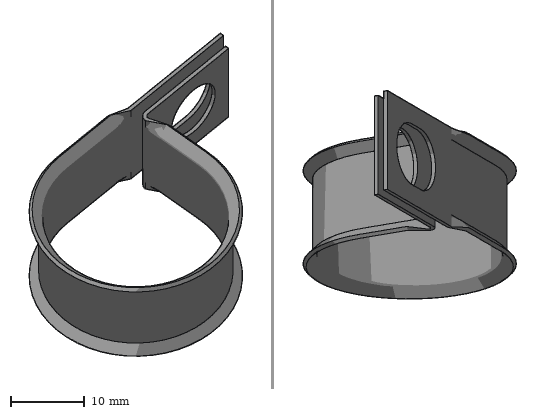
import cadquery as cq
import math

thickness = 0.6
half_width = 7.12
lip_radius = 14.6
inner_radius = 12.75
outer_radius = inner_radius + thickness
overall_length = 45.95
tab_end = overall_length - lip_radius

tab_length_difference = 1.25
short_tab_end = tab_end - tab_length_difference
short_tab_face = -11.2
bend_outer_radius = 2 * thickness
bend_inner_radius = bend_outer_radius - thickness
bend_end = short_tab_face + bend_outer_radius

flare_reach = lip_radius - outer_radius
flare_offset = thickness * math.sqrt(0.5)
root_height = half_width - flare_offset - flare_reach
long_side_flare_end = 10.2
short_side_flare_end = 7.35
long_side_flat_start = inner_radius
short_side_flat_start = -bend_end

hole_diameter = 8.75
slot_length = 11.2
hole_y = 23.03


def strap_box(x_min, x_max, y_min, y_max, half_height):
    return cq.Workplane("XY").box(
        x_max - x_min, y_max - y_min, 2 * half_height, centered=False
    ).translate((x_min, y_min, -half_height))


def flared_section(plane):
    """Flared rim section: local X is the distance from the loop axis, local Y is Z."""
    arc_middle = math.radians(22.5)
    return (
        plane.moveTo(outer_radius, root_height)
        .lineTo(lip_radius, root_height + flare_reach)
        .lineTo(lip_radius - flare_offset, half_width)
        .lineTo(outer_radius - flare_offset, root_height + flare_offset)
        .threePointArc(
            (outer_radius - thickness * math.cos(arc_middle),
             root_height + thickness * math.sin(arc_middle)),
            (inner_radius, root_height),
        )
        .close()
    )


def flat_section(plane):
    """Unflared strap edge, with one corner for each corner of the flared section."""
    return (
        plane.moveTo(outer_radius, root_height)
        .lineTo(outer_radius, half_width)
        .lineTo(inner_radius, half_width)
        .lineTo(inner_radius, root_height + flare_offset)
        .lineTo(inner_radius, root_height)
        .close()
    )


def straight_rim(flare_end, flat_start):
    """Straight flared rim and its fade-out, on the +X side and running toward -Y."""
    rim = flared_section(cq.Workplane("XZ")).extrude(flare_end)
    flared = flared_section(cq.Workplane("XZ", origin=(0, -flare_end, 0))).val()
    flat = flat_section(cq.Workplane("XZ", origin=(0, -flat_start, 0))).val()
    fade = cq.Solid.makeLoft([flared, flat], True)
    return rim.union(cq.Workplane(obj=fade))


def upper_rim():
    curved = (
        flared_section(cq.Workplane("XZ"))
        .revolve(270, (0, 0, 0), (0, 1, 0))
        .rotate((0, 0, 0), (0, 0, 1), 180)
    )
    long_side = straight_rim(long_side_flare_end, long_side_flat_start).mirror("YZ").mirror("XZ")
    short_side = straight_rim(short_side_flare_end, short_side_flat_start)
    short_side = short_side.mirror("XZ").rotate((0, 0, 0), (0, 0, 1), 90)
    return curved.union(long_side).union(short_side)


def loop_band():
    ring = (
        cq.Workplane("XY").circle(outer_radius).circle(inner_radius)
        .extrude(root_height, both=True)
    )
    ring = ring.cut(strap_box(-lip_radius, 0, 0, lip_radius, half_width))
    long_side = strap_box(-outer_radius, -inner_radius, 0, long_side_flat_start, root_height)
    short_side = strap_box(bend_end, 0, inner_radius, outer_radius, root_height)
    return ring.union(long_side).union(short_side)


def long_tab():
    tab = strap_box(-outer_radius, -inner_radius, long_side_flat_start, tab_end, half_width)
    slot = (
        cq.Workplane("YZ", origin=(-outer_radius, hole_y, 0))
        .slot2D(slot_length, hole_diameter).extrude(thickness)
    )
    return tab.cut(slot)


def short_tab():
    bend_y = inner_radius + bend_outer_radius
    diagonal = math.sqrt(0.5)
    tab = (
        cq.Workplane("XY", origin=(0, 0, -half_width))
        .moveTo(short_tab_face, short_tab_end)
        .lineTo(short_tab_face, bend_y)
        .threePointArc(
            (bend_end - bend_outer_radius * diagonal, bend_y - bend_outer_radius * diagonal),
            (bend_end, inner_radius),
        )
        .lineTo(bend_end, outer_radius)
        .threePointArc(
            (bend_end - bend_inner_radius * diagonal, bend_y - bend_inner_radius * diagonal),
            (short_tab_face + thickness, bend_y),
        )
        .lineTo(short_tab_face + thickness, short_tab_end)
        .close()
        .extrude(2 * half_width)
    )
    hole = (
        cq.Workplane("YZ", origin=(short_tab_face, hole_y, 0))
        .circle(hole_diameter / 2).extrude(thickness)
    )
    return tab.cut(hole)


rim = upper_rim()
result = loop_band().union(rim).union(rim.mirror("XY")).union(long_tab()).union(short_tab())